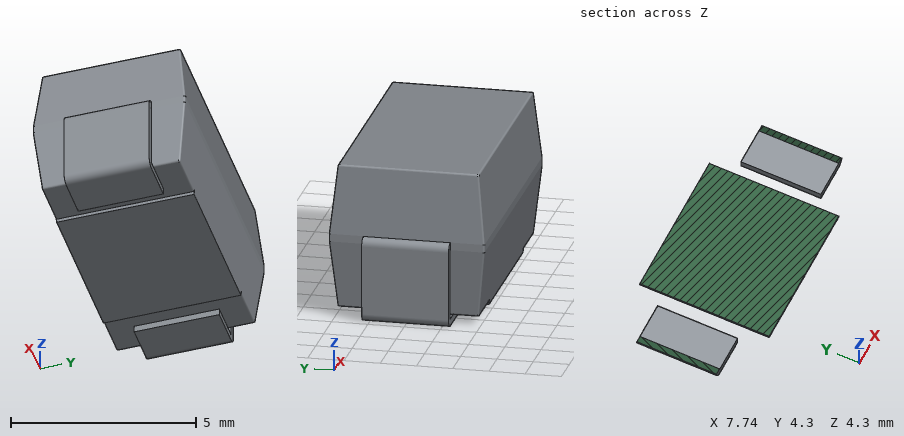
import cadquery as cq
import math

housing_length = 7.3
housing_width = 4.3
housing_top = 4.3
housing_bottom = 0.25
band_top = 2.38
band_height = 0.22
band_bottom = band_top - band_height
draft_angle = 6.0
edge_radius = 0.05

pedestal_base_length = 4.72
pedestal_bottom = 0.15

lead_thickness = 0.2
lead_width = 2.4
lead_inner_radius = 0.02
lead_outer_radius = lead_inner_radius + lead_thickness
lead_outer_x = housing_length / 2 + lead_outer_radius
foot_length = 1.3


def tapered_block(length, width, start_z, end_z):
    """Rectangular block that narrows at the draft angle from start_z to end_z."""
    inset = 2 * abs(end_z - start_z) * math.tan(math.radians(draft_angle))
    return (
        cq.Workplane("XY", origin=(0, 0, start_z))
        .rect(length, width)
        .workplane(offset=end_z - start_z)
        .rect(length - inset, width - inset)
        .loft(ruled=True)
    )


def make_housing():
    band = (
        cq.Workplane("XY", origin=(0, 0, band_bottom))
        .rect(housing_length, housing_width)
        .extrude(band_height)
    )
    upper = tapered_block(housing_length, housing_width, band_top, housing_top)
    lower = tapered_block(housing_length, housing_width, band_bottom, housing_bottom)
    body = band.union(upper).union(lower)

    body = body.edges("not(#Z)").fillet(edge_radius)
    body = body.faces("<Z or >Z").edges().fillet(edge_radius)

    pedestal = tapered_block(pedestal_base_length, housing_width, band_bottom, pedestal_bottom)
    return body.union(pedestal, clean=False)


def make_lead(side):
    """Lead at the -X end (side = -1) or the +X end (side = 1), butted against the band."""
    bend_x = housing_length / 2
    inner_x = lead_outer_x - lead_thickness
    foot_end_x = lead_outer_x - foot_length
    upper_bend_z = band_top - lead_outer_radius
    diagonal = math.sqrt(0.5)
    outer_mid = lead_outer_radius * diagonal
    inner_mid = lead_inner_radius * diagonal

    profile = (
        cq.Workplane("XZ", origin=(0, lead_width / 2, 0))
        .moveTo(side * bend_x, band_top)
        .threePointArc(
            (side * (bend_x + outer_mid), upper_bend_z + outer_mid),
            (side * lead_outer_x, upper_bend_z),
        )
        .lineTo(side * lead_outer_x, lead_outer_radius)
        .threePointArc(
            (side * (bend_x + outer_mid), lead_outer_radius - outer_mid),
            (side * bend_x, 0),
        )
        .lineTo(side * foot_end_x, 0)
        .lineTo(side * foot_end_x, lead_thickness)
        .lineTo(side * bend_x, lead_thickness)
        .threePointArc(
            (side * (bend_x + inner_mid), lead_outer_radius - inner_mid),
            (side * inner_x, lead_outer_radius),
        )
        .lineTo(side * inner_x, upper_bend_z)
        .threePointArc(
            (side * (bend_x + inner_mid), upper_bend_z + inner_mid),
            (side * bend_x, band_top - lead_thickness),
        )
        .close()
    )
    return profile.extrude(lead_width)


housing = make_housing()
leads = [make_lead(side).val() for side in (-1, 1)]

result = cq.Compound.makeCompound([housing.val(), *leads])